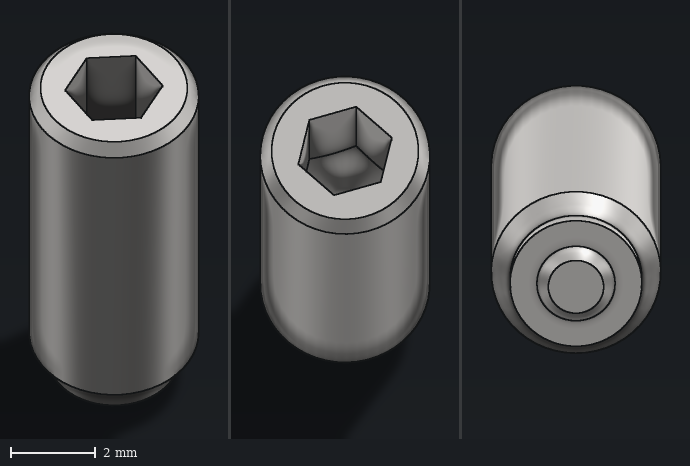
import cadquery as cq
import math

total_length = 9.6
screw_radius = 2.002
top_chamfer = 0.27

collar_radius = 1.56
collar_height = 0.4
neck_cone_height = 0.45

ball_radius = 1.15
ball_protrusion = 0.26
flat_radius = 0.65
ball_center_z = math.sqrt(ball_radius**2 - flat_radius**2)

socket_across_flats = 2.0
socket_corner_radius = socket_across_flats / math.sqrt(3)
socket_depth = 2.5
drill_point_angle = 120.0
drill_cone_depth = socket_corner_radius / math.tan(math.radians(drill_point_angle / 2))

collar_top_z = ball_protrusion + collar_height
thread_bottom_z = collar_top_z + neck_cone_height


def make_ball():
    """Sphere cut off by a flat at Z = 0."""
    sphere = cq.Workplane("XY").sphere(ball_radius).translate((0, 0, ball_center_z))
    box_size = 2 * ball_radius
    upper_space = cq.Workplane("XY").box(box_size, box_size, box_size, centered=(True, True, False))
    return sphere.intersect(upper_space)


def make_socket():
    """Hexagon prism whose lower end narrows to a drill point."""
    wall_bottom_z = total_length - socket_depth
    tip_z = wall_bottom_z - drill_cone_depth
    hexagon = (
        cq.Workplane("XY", origin=(0, 0, tip_z))
        .polygon(6, 2 * socket_corner_radius)
        .extrude(total_length - tip_z)
    )
    drill = (
        cq.Workplane("XZ")
        .moveTo(0, tip_z)
        .lineTo(socket_corner_radius, wall_bottom_z)
        .lineTo(socket_corner_radius, total_length)
        .lineTo(0, total_length)
        .close()
        .revolve(360, (0, 0), (0, 1))
    )
    return hexagon.intersect(drill)


def make_screw(ball):
    """Turned screw blank with a hexagon socket and a seat fitting the ball."""
    blank = (
        cq.Workplane("XZ")
        .moveTo(0, ball_protrusion)
        .lineTo(collar_radius, ball_protrusion)
        .lineTo(collar_radius, collar_top_z)
        .lineTo(screw_radius, thread_bottom_z)
        .lineTo(screw_radius, total_length - top_chamfer)
        .lineTo(screw_radius - top_chamfer, total_length)
        .lineTo(0, total_length)
        .close()
        .revolve(360, (0, 0), (0, 1))
    )
    return blank.cut(make_socket()).cut(ball)


ball = make_ball()
screw = make_screw(ball)
result = cq.Compound.makeCompound([screw.solids().val(), ball.solids().val()])